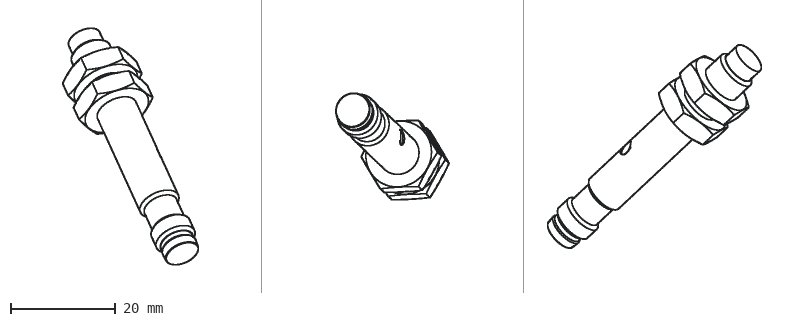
import cadquery as cq
import math

length = 54.0
barrel_radius = 8.0 / 2
chamfer_length = 0.65

nose_radius = 6.5 / 2
nose_length = 2.95
front_chamfer_radius = 6.7 / 2

neck_radius = 6.7 / 2
neck_start = 42.05
collar_start = 46.9
collar_end = 51.0

groove_radius = 6.5 / 2
ridge_radius = 6.9 / 2
plug_end_radius = 6.7 / 2
plug_edge_chamfer = 0.1
ridge_start = 51.95
ridge_slope_length = 0.3
ridge_crown_length = 0.25

window_diameter = 3.0
window_depth = 0.3
window_x = 30.85

nut_across_flats = 13.0
nut_across_corners = nut_across_flats / math.cos(math.radians(30))
nut_thickness = 4.0
nut_starts = [7.9, 13.95]
nut_face_radius = 12.9 / 2
nut_chamfer_angle = 25.0


def make_barrel():
    """Stepped round body, revolved from its half outline (X, radius)."""
    crown_start = ridge_start + ridge_slope_length
    crown_end = crown_start + ridge_crown_length
    outline = [
        (0, 0),
        (0, nose_radius),
        (nose_length, nose_radius),
        (nose_length, front_chamfer_radius),
        (nose_length + chamfer_length, barrel_radius),
        (neck_start - chamfer_length, barrel_radius),
        (neck_start, neck_radius),
        (collar_start, neck_radius),
        (collar_start + chamfer_length, barrel_radius),
        (collar_end - chamfer_length, barrel_radius),
        (collar_end, neck_radius),
        (collar_end, groove_radius),
        (ridge_start, groove_radius),
        (crown_start, ridge_radius),
        (crown_end, ridge_radius),
        (length - plug_edge_chamfer, plug_end_radius),
        (length, plug_end_radius - plug_edge_chamfer),
        (length, 0),
    ]
    body = cq.Workplane("XY").polyline(outline).close().revolve(360, (0, 0, 0), (1, 0, 0))
    return body.cut(make_window_cutter())


def make_window_cutter():
    """Cylinder along Y that reaches window_depth below the barrel surface."""
    floor_y = barrel_radius - window_depth
    return (
        cq.Workplane("XZ", origin=(window_x, floor_y, 0))
        .circle(window_diameter / 2)
        .extrude(-barrel_radius)
    )


def make_nut(start_x):
    """Hexagon nut with corners toward +Y and -Y, chamfered on both faces."""
    corner_radius = nut_across_corners / 2
    chamfer_depth = (corner_radius - nut_face_radius) * math.tan(math.radians(nut_chamfer_angle))
    end_x = start_x + nut_thickness
    hexagon = (
        cq.Workplane("YZ", origin=(start_x, 0, 0))
        .polygon(6, nut_across_corners)
        .circle(barrel_radius)
        .extrude(nut_thickness)
    )
    chamfer_envelope = (
        cq.Workplane("XY")
        .polyline([
            (start_x, 0),
            (start_x, nut_face_radius),
            (start_x + chamfer_depth, corner_radius),
            (end_x - chamfer_depth, corner_radius),
            (end_x, nut_face_radius),
            (end_x, 0),
        ])
        .close()
        .revolve(360, (0, 0, 0), (1, 0, 0))
    )
    return hexagon.intersect(chamfer_envelope)


barrel = make_barrel()
nuts = [make_nut(start_x) for start_x in nut_starts]

result = cq.Compound.makeCompound([barrel.val(), *[nut.val() for nut in nuts]])